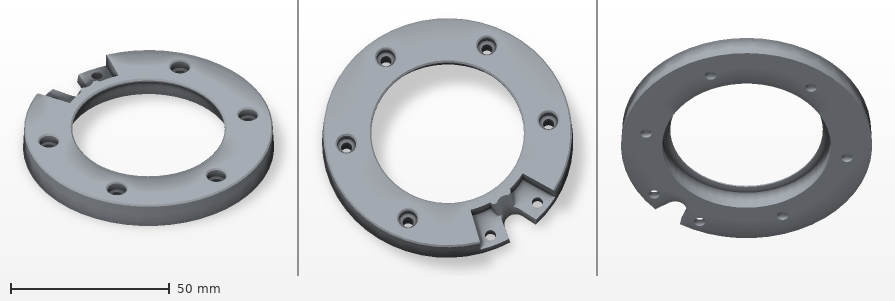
import cadquery as cq
import math

HEIGHT = 8.0
OUTER_RADIUS = 39.5
DRAFT_ANGLE = 3.0
BORE_RADIUS = 24.0
EDGE_CHAMFER = 0.5

LOWER_BORE_RADIUS = 26.5
LIP_BOTTOM_Z = 7.0

BOLT_CIRCLE_RADIUS = 32.0
BOLT_PITCH_ANGLE = 60.0
BOLT_ANGLES = [i * BOLT_PITCH_ANGLE for i in range(-2, 3)]
HOLE_DIAMETER = 3.5
COUNTERBORE_DIAMETER = 6.0
COUNTERBORE_DEPTH = 3.0

FLOOR_Z = 3.0
RECESS_INNER_RADIUS = 27.5
RECESS_HALF_ANGLE = 22.0
RECESS_HOLE_RADIUS = 35.75
RECESS_HOLE_HALF_ANGLE = 15.0

CHANNEL_RADIUS = 3.6
CHANNEL_END_X = -31.85
CHANNEL_LEAN_ANGLE = 27.0
CHANNEL_FLARE_ANGLE = 18.0

COLLAR_FRONT_X = -31.1
COLLAR_HALF_WIDTH = 3.55
COLLAR_CORNER_RADIUS = 1.25

OVERCUT = 10.0


def tan_deg(angle):
    return math.tan(math.radians(angle))


def polar(radius, angle):
    """Point at a radius and an angle in degrees, measured from +X."""
    return (radius * math.cos(math.radians(angle)), radius * math.sin(math.radians(angle)))


def revolve_about_z(profile):
    """Solid of revolution about Z from closed (radius, z) points."""
    return cq.Workplane("XZ").polyline(profile).close().revolve(360, (0, 0), (0, 1))


def make_ring():
    """Revolved ring with a drafted outside and a stepped bore, both chamfered at the top."""
    chamfer_z = HEIGHT - EDGE_CHAMFER
    drafted_radius = OUTER_RADIUS - chamfer_z * tan_deg(DRAFT_ANGLE)
    profile = [
        (LOWER_BORE_RADIUS, 0),
        (OUTER_RADIUS, 0),
        (drafted_radius, chamfer_z),
        (drafted_radius - EDGE_CHAMFER, HEIGHT),
        (BORE_RADIUS + EDGE_CHAMFER, HEIGHT),
        (BORE_RADIUS, chamfer_z),
        (BORE_RADIUS, LIP_BOTTOM_Z),
        (LOWER_BORE_RADIUS, LIP_BOTTOM_Z),
    ]
    return revolve_about_z(profile)


def make_counterbored_holes():
    """Through holes with a chamfered counterbore, opening at the top face."""
    centers = [polar(BOLT_CIRCLE_RADIUS, angle) for angle in BOLT_ANGLES]
    counterbore_radius = COUNTERBORE_DIAMETER / 2
    cutter_profile = [
        (0, 0),
        (HOLE_DIAMETER / 2, 0),
        (HOLE_DIAMETER / 2, HEIGHT - COUNTERBORE_DEPTH),
        (counterbore_radius, HEIGHT - COUNTERBORE_DEPTH),
        (counterbore_radius, HEIGHT - EDGE_CHAMFER),
        (counterbore_radius + EDGE_CHAMFER, HEIGHT),
        (0, HEIGHT),
    ]
    cutter = revolve_about_z(cutter_profile).val()
    return cq.Workplane("XY").pushPoints(centers).eachpoint(lambda place: cutter.moved(place))


def make_collar():
    """Round-cornered block that leans with the channel and widens upwards by the draft."""
    rise = HEIGHT - FLOOR_Z
    back_x = -RECESS_INNER_RADIUS + OVERCUT

    def section(z, front_x, half_width):
        length = back_x - front_x
        sketch = cq.Sketch().rect(length, 2 * half_width).vertices("<X").fillet(COLLAR_CORNER_RADIUS)
        return sketch.moved(cq.Location(cq.Vector((front_x + back_x) / 2, 0, z)))

    lower = section(FLOOR_Z, COLLAR_FRONT_X, COLLAR_HALF_WIDTH)
    upper = section(
        HEIGHT,
        COLLAR_FRONT_X + rise * tan_deg(CHANNEL_LEAN_ANGLE),
        COLLAR_HALF_WIDTH + rise * tan_deg(DRAFT_ANGLE),
    )
    return cq.Workplane("XY").placeSketch(lower, upper).loft(ruled=True)


def make_recess():
    """Annular sector above the floor, with the collar left standing."""
    reach = OUTER_RADIUS + OVERCUT
    start_angle = 180 - RECESS_HALF_ANGLE
    end_angle = 180 + RECESS_HALF_ANGLE
    sector = (
        cq.Workplane("XY", origin=(0, 0, FLOOR_Z))
        .moveTo(*polar(RECESS_INNER_RADIUS, start_angle))
        .lineTo(*polar(reach, start_angle))
        .threePointArc((-reach, 0), polar(reach, end_angle))
        .lineTo(*polar(RECESS_INNER_RADIUS, end_angle))
        .threePointArc((-RECESS_INNER_RADIUS, 0), polar(RECESS_INNER_RADIUS, start_angle))
        .close()
        .extrude(HEIGHT - FLOOR_Z)
    )
    return sector.cut(make_collar())


def make_recess_holes():
    centers = [polar(RECESS_HOLE_RADIUS, 180 + side * RECESS_HOLE_HALF_ANGLE) for side in (-1, 1)]
    return cq.Workplane("XY").pushPoints(centers).circle(HOLE_DIAMETER / 2).extrude(HEIGHT)


def make_channel():
    """Flared slot profile swept along the leaning direction through the full height."""
    center_x = CHANNEL_END_X - CHANNEL_RADIUS
    arc_offset_x, tangent_y = polar(CHANNEL_RADIUS, 90 - CHANNEL_FLARE_ANGLE)
    tangent_x = center_x + arc_offset_x
    mouth_x = -OUTER_RADIUS - OVERCUT
    mouth_y = tangent_y + (tangent_x - mouth_x) * tan_deg(CHANNEL_FLARE_ANGLE)
    profile = (
        cq.Workplane("XY")
        .moveTo(mouth_x, mouth_y)
        .lineTo(tangent_x, tangent_y)
        .threePointArc((CHANNEL_END_X, 0), (tangent_x, -tangent_y))
        .lineTo(mouth_x, -mouth_y)
        .close()
    )
    lean = cq.Vector(HEIGHT * tan_deg(CHANNEL_LEAN_ANGLE), 0, HEIGHT)
    return cq.Workplane(cq.Solid.extrudeLinear(profile.val(), [], lean))


result = (
    make_ring()
    .cut(make_counterbored_holes())
    .cut(make_recess())
    .cut(make_recess_holes())
    .cut(make_channel())
)